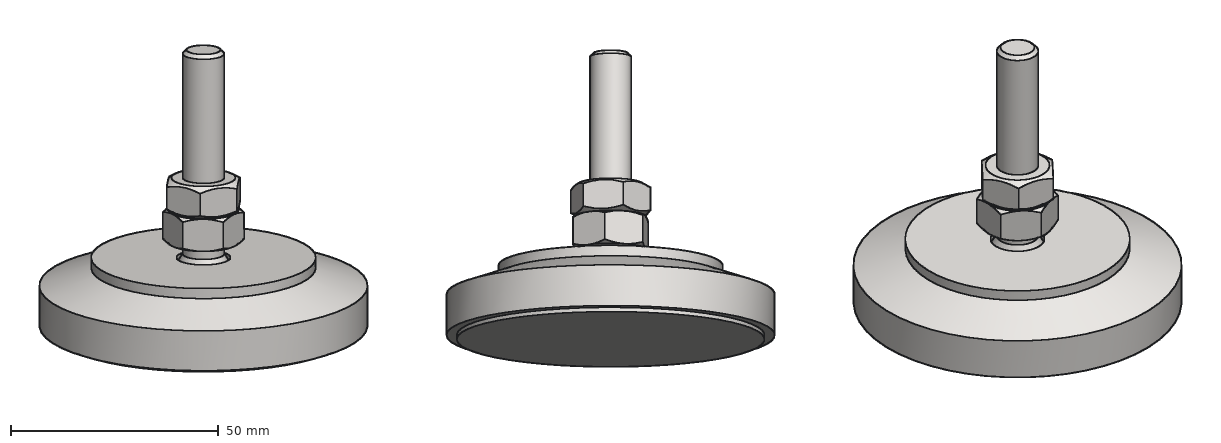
import cadquery as cq
import math

BASE_BOTTOM_Z = 1.0
RIM_TOP_Z = 11.0
CONE_TOP_Z = 15.5
BASE_TOP_Z = 18.0
HEX_BOTTOM_Z = 22.0
NUT_BOTTOM_Z = 30.0
NUT_TOP_Z = 38.0
STUD_TOP_Z = 70.0

BASE_DIAMETER = 79.0
BOSS_DIAMETER = 54.0
PAD_DIAMETER = 74.0
RECESS_DEPTH = 2.0

STUD_DIAMETER = 10.0
TIP_CHAMFER = 0.95
FLARE_DIAMETER = 12.95
FLARE_ABOVE_BASE = 0.95
FLARE_BELOW_BASE = 1.6

ACROSS_FLATS = 17.0
ACROSS_CORNERS = ACROSS_FLATS / math.cos(math.radians(30))
HEX_CHAMFER_ANGLE = 30.0
HEX_FACE_DIAMETER = ACROSS_FLATS
HEX_TURN = 4.0
NUT_FACE_DIAMETER = 15.4
NUT_TURN = 30.0

SOCKET_BOTTOM_Z = BASE_TOP_Z - FLARE_BELOW_BASE
RECESS_TOP_Z = BASE_BOTTOM_Z + RECESS_DEPTH


def cylinder(diameter, bottom_z, top_z):
    return cq.Workplane("XY").workplane(offset=bottom_z).circle(diameter / 2).extrude(top_z - bottom_z)


def revolve_profile(points):
    """Revolve a closed (radius, z) outline about the Z axis."""
    return cq.Workplane("XZ").polyline(points).close().revolve(360, (0, 0), (0, 1))


def chamfered_hexagon(bottom_z, top_z, face_diameter, turn):
    """Hexagonal prism with its corners cut by a cone at each end."""
    prism = (
        cq.Workplane("XY")
        .workplane(offset=bottom_z)
        .polygon(6, ACROSS_CORNERS)
        .extrude(top_z - bottom_z)
        .rotate((0, 0, 0), (0, 0, 1), turn)
    )
    face_radius = face_diameter / 2
    corner_radius = ACROSS_CORNERS / 2
    corner_drop = (corner_radius - face_radius) * math.tan(math.radians(HEX_CHAMFER_ANGLE))
    envelope = revolve_profile([
        (0, bottom_z),
        (face_radius, bottom_z),
        (corner_radius, bottom_z + corner_drop),
        (corner_radius, top_z - corner_drop),
        (face_radius, top_z),
        (0, top_z),
    ])
    return prism.intersect(envelope)


def make_base():
    """Round foot with a sloping shoulder, a pad recess below and a stud socket on top."""
    body = revolve_profile([
        (0, BASE_BOTTOM_Z),
        (BASE_DIAMETER / 2, BASE_BOTTOM_Z),
        (BASE_DIAMETER / 2, RIM_TOP_Z),
        (BOSS_DIAMETER / 2, CONE_TOP_Z),
        (BOSS_DIAMETER / 2, BASE_TOP_Z),
        (0, BASE_TOP_Z),
    ])
    recess = cylinder(PAD_DIAMETER, BASE_BOTTOM_Z, RECESS_TOP_Z)
    socket = cylinder(FLARE_DIAMETER, SOCKET_BOTTOM_Z, BASE_TOP_Z)
    return body.cut(recess).cut(socket)


def make_pad():
    """Flat disc that stands below the base."""
    return cylinder(PAD_DIAMETER, 0, RECESS_TOP_Z)


def make_stud():
    """Shank with a flared foot, a spanner hexagon and a chamfered tip."""
    radius = STUD_DIAMETER / 2
    shank = revolve_profile([
        (0, SOCKET_BOTTOM_Z),
        (FLARE_DIAMETER / 2, SOCKET_BOTTOM_Z),
        (radius, BASE_TOP_Z + FLARE_ABOVE_BASE),
        (radius, STUD_TOP_Z - TIP_CHAMFER),
        (radius - TIP_CHAMFER, STUD_TOP_Z),
        (0, STUD_TOP_Z),
    ])
    return shank.union(chamfered_hexagon(HEX_BOTTOM_Z, NUT_BOTTOM_Z, HEX_FACE_DIAMETER, HEX_TURN))


def make_lock_nut():
    """Plain hexagon nut resting on the stud's hexagon."""
    blank = chamfered_hexagon(NUT_BOTTOM_Z, NUT_TOP_Z, NUT_FACE_DIAMETER, NUT_TURN)
    return blank.cut(cylinder(STUD_DIAMETER, NUT_BOTTOM_Z, NUT_TOP_Z))


base = make_base()
pad = make_pad()
stud = make_stud()
lock_nut = make_lock_nut()

result = cq.Compound.makeCompound([base.val(), pad.val(), stud.val(), lock_nut.val()])